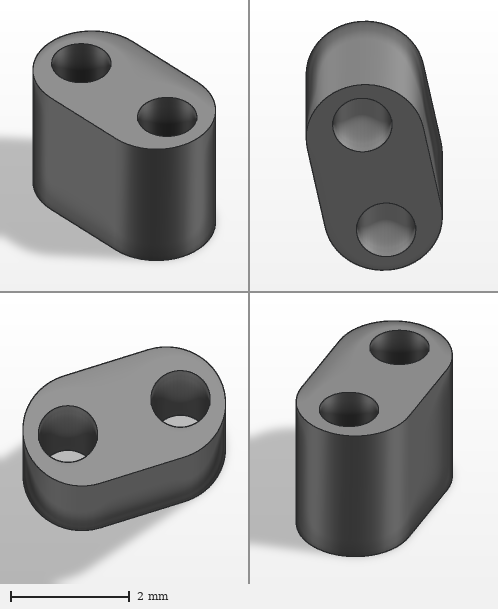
import cadquery as cq

length = 3.5
width = 2.0
height = 2.5

hole_diameter = 1.0
hole_spacing = 2.0

body = cq.Workplane("XY").slot2D(length, width).extrude(height)

result = (
    body.faces(">Z")
    .workplane(origin=(0, 0, height))
    .pushPoints([(-hole_spacing / 2, 0), (hole_spacing / 2, 0)])
    .hole(hole_diameter)
)